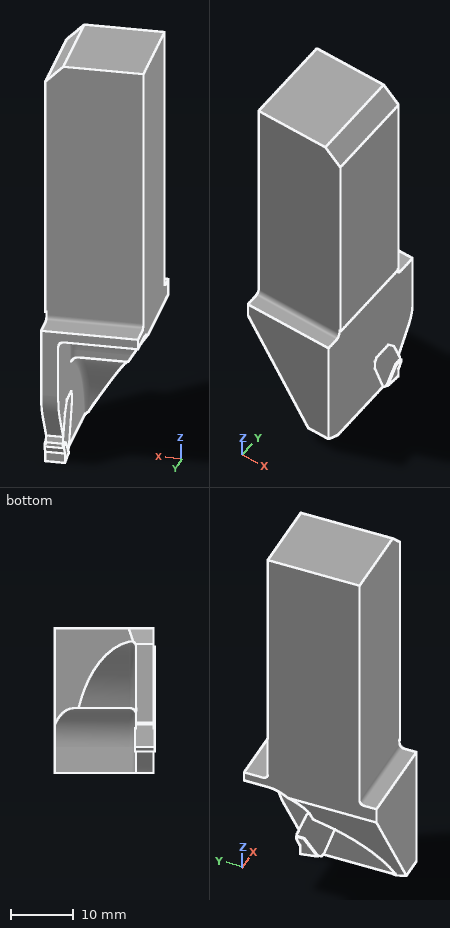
import cadquery as cq
import math

total_height = 70.0
shank_side = 16.0
shank_chamfer = 2.95

head_length = 23.1
side_relief = 0.2
head_thickness = shank_side - side_relief
head_top = 25.0
head_bottom = 1.05
shank_start = 2.95
shank_end = shank_start + shank_side
shoulder_fillet = 0.85
relief_top = head_top + 1.4
toe_chamfer_length = 2.5
toe_chamfer_angle = 30.0
nose_slope_angle = 30.0
nose_slope_start = 11.35
nose_round = 8.4

slope_top = 22.25
slope_angle = 30.9

blade_face = 13.0
pocket_fillet = 1.0
disc_radius = 17.0
upper_pocket_top = 23.3
upper_pocket_edge = 12.75
upper_pocket_round = 6.2

tip_overhang = 0.2
nose_top = 3.35
insert_outline = [
    (shank_end, 0), (15.3, 0.55), (14.9, 1.2), (12.8, 7.5), (12.8, 9.3), (13.15, 10.0),
    (16.45, 10.0), (17.9, 8.25), (19.7, 3.7), (19.7, 2.95), (shank_end, 1.7),
]
nose_fold_upper = (18.35, nose_top)
nose_fold_lower = (15.9, 0.4)

margin = 3.5


def prism_along_x(points, x_start, x_end):
    """Extrude a (Y, Z) outline between two X positions."""
    return cq.Workplane("YZ", origin=(x_start, 0, 0)).polyline(points).close().extrude(x_end - x_start)


def make_shank():
    height = total_height - head_top
    bar = cq.Workplane("XY").box(shank_side, shank_side, height, centered=False)
    bar = bar.edges(">X and >Z").chamfer(shank_chamfer)
    return bar.translate((0, shank_start, head_top))


def make_head_plate():
    toe_rise = toe_chamfer_length * math.tan(math.radians(toe_chamfer_angle))
    nose_run = (nose_slope_start - head_bottom) * math.tan(math.radians(nose_slope_angle))
    outline = [
        (0, head_top), (0, head_bottom + toe_rise), (toe_chamfer_length, head_bottom),
        (head_length - nose_run, head_bottom), (head_length, nose_slope_start), (head_length, head_top),
    ]
    plate = prism_along_x(outline, 0, shank_side)
    corner = cq.selectors.NearestToPointSelector((head_thickness / 2, head_length, nose_slope_start))
    return plate.edges("|X").edges(corner).fillet(nose_round)


def make_shoulder_fillet(y_face, direction):
    """Concave fillet between the head top and a shank face; direction is the way that face points."""
    far = y_face + direction * shoulder_fillet
    high = head_top + shoulder_fillet
    sag = shoulder_fillet * (1 - math.sqrt(0.5))
    return (
        cq.Workplane("YZ")
        .moveTo(y_face, head_top)
        .lineTo(far, head_top)
        .threePointArc((y_face + direction * sag, head_top + sag), (y_face, high))
        .close()
        .extrude(shank_side)
    )


def make_side_relief_cutter():
    length = head_length + 2 * margin
    return cq.Workplane("XY").box(margin, length, relief_top + margin, centered=False).translate(
        (head_thickness, -margin, -margin)
    )


def make_slope_cutter():
    slope_run = slope_top * math.tan(math.radians(slope_angle))
    outline = [(0, slope_top), (slope_run, 0), (0, 0)]
    return cq.Workplane("XZ").polyline(outline).close().extrude(-head_length)


def make_disc_cutter():
    disc = cq.Workplane("YZ", origin=(-margin, shank_end, 0)).circle(disc_radius)
    return disc.extrude(blade_face + margin).faces(">X").edges().fillet(pocket_fillet)


def make_upper_cutter():
    far = head_length + margin
    outline = [
        (upper_pocket_edge, -margin), (far, -margin), (far, upper_pocket_top),
        (upper_pocket_edge, upper_pocket_top),
    ]
    block = prism_along_x(outline, -margin, blade_face)
    block = block.edges("|X and <Y and >Z").fillet(upper_pocket_round)
    return block.faces(">X").edges().fillet(pocket_fillet)


def make_holder(insert):
    holder = make_head_plate().union(make_shank())
    holder = holder.union(make_shoulder_fillet(shank_start, -1))
    holder = holder.union(make_shoulder_fillet(shank_end, 1))
    cutters = [make_side_relief_cutter(), make_slope_cutter(), make_disc_cutter(), make_upper_cutter(), insert]
    for cutter in cutters:
        holder = holder.cut(cutter)
    return holder


def make_insert():
    body = prism_along_x(insert_outline, blade_face, head_thickness)
    full_width = prism_along_x(insert_outline, blade_face - tip_overhang, head_thickness + tip_overhang)
    far = head_length
    nose_region = [
        nose_fold_upper, (far, nose_top), (far, -margin), (nose_fold_lower[0], -margin), nose_fold_lower,
    ]
    nose = full_width.intersect(prism_along_x(nose_region, 0, shank_side + margin))
    return body.union(nose)


insert = make_insert()
holder = make_holder(insert)
result = cq.Compound.makeCompound([holder.val(), insert.val()])